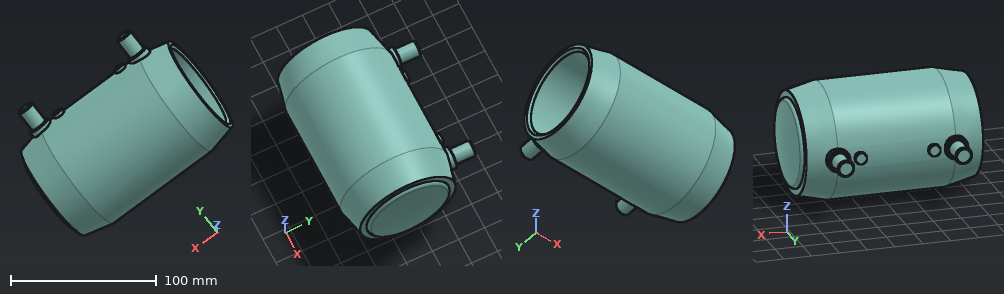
import cadquery as cq
import math

sleeve_length = 126.9
taper_length = 21.2
sleeve_radius = 41.5
end_radius = 36.6
bore_radius = 31.7
mouth_radius = 33.7
mouth_depth = 2.0

overall_length = 132.2
rim_radius = 2.6
cap_thickness = 3.7
recess_radius = bore_radius - cap_thickness

terminal_top = 60.0
terminal_radius = 6.0
terminal_chamfer = 0.9
collar_top = 44.0
collar_radius = 8.0
step_radius = 6.6
step_height = 0.4
stud_radius = 4.1
stud_inset = 15.9
foot_level = (bore_radius + end_radius) / 2


def make_sleeve():
    """Closed profile of the tapered wall, revolved about X."""
    profile = (
        cq.Workplane("XY")
        .moveTo(0, mouth_radius)
        .lineTo(0, end_radius)
        .lineTo(taper_length, sleeve_radius)
        .lineTo(sleeve_length - taper_length, sleeve_radius)
        .lineTo(sleeve_length, end_radius)
        .lineTo(sleeve_length, bore_radius)
        .lineTo(mouth_depth, bore_radius)
        .close()
    )
    return profile.revolve(360, (0, 0, 0), (1, 0, 0))


def make_cap():
    """Shallow dome with a rounded rim and a matching hollow inside."""
    dome_rise = overall_length - sleeve_length
    rim_center = bore_radius - rim_radius
    outer_sphere = (rim_center**2 + dome_rise**2 - rim_radius**2) / (2 * (dome_rise - rim_radius))
    inner_sphere = outer_sphere - cap_thickness
    sphere_center = overall_length - outer_sphere
    ledge = sphere_center + math.sqrt(inner_sphere**2 - recess_radius**2)
    tangent_radius = rim_center * outer_sphere / (outer_sphere - rim_radius)

    def dome_point(sphere, radius):
        return (sphere_center + math.sqrt(sphere**2 - radius**2), radius)

    profile = (
        cq.Workplane("XY")
        .moveTo(overall_length - cap_thickness, 0)
        .lineTo(overall_length, 0)
        .threePointArc(
            dome_point(outer_sphere, tangent_radius / 2),
            dome_point(outer_sphere, tangent_radius),
        )
        .radiusArc((sleeve_length, bore_radius), -rim_radius)
        .lineTo(sleeve_length, end_radius)
        .lineTo(ledge, end_radius)
        .lineTo(ledge, recess_radius)
        .threePointArc(
            dome_point(inner_sphere, recess_radius / 2),
            (overall_length - cap_thickness, 0),
        )
        .close()
    )
    return profile.revolve(360, (0, 0, 0), (1, 0, 0))


def make_post(x, radius, top):
    """Round post along +Y whose foot is buried in the sleeve wall."""
    base = cq.Plane(origin=(x, foot_level, 0), xDir=(1, 0, 0), normal=(0, 1, 0))
    return cq.Workplane(base).circle(radius).extrude(top - foot_level)


result = make_sleeve().union(make_cap())

for terminal_x, inward in ((taper_length, 1), (sleeve_length - taper_length, -1)):
    pin = make_post(terminal_x, terminal_radius, terminal_top)
    pin = pin.faces(">Y").chamfer(terminal_chamfer)
    collar = make_post(terminal_x, collar_radius, collar_top)
    step = make_post(terminal_x, step_radius, collar_top + step_height)
    stud = make_post(terminal_x + inward * stud_inset, stud_radius, collar_top)
    result = result.union(pin).union(collar).union(step).union(stud)